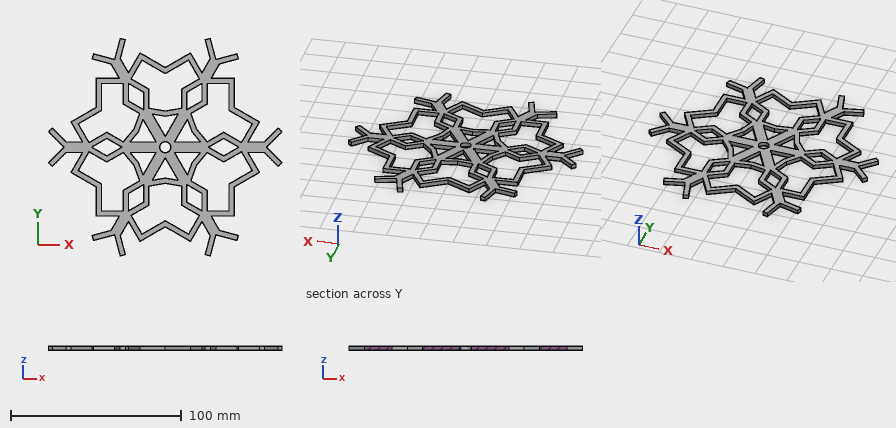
import cadquery as cq
import math

thickness = 2.54
bar_width = 3.175
hub_hole_diameter = 6.35
branch_count = 6
branch_angle = 360 / branch_count
half_sector = math.radians(branch_angle / 2)

spoke_width = 2 * bar_width
overall_length_x = 136.7
fork_corner_y = 9.02

frame_outer_offset = 40.41

diamond_center = 34.2
diamond_opening_half_length = 8.8
diamond_side_angle = math.radians(30)

ring_outer_radius = 21.22
ring_side_tilt = math.radians(9.7)


def plate(points):
    """Extrude a closed outline to the plate thickness."""
    return cq.Workplane("XY").polyline(points).close().extrude(thickness)


def mirrored_outline(points):
    """Complete a closed outline from its half on the +Y side of the X axis."""
    return points + [(x, -y) for x, y in reversed(points) if y != 0]


def make_inner_spoke():
    """Spoke along +X from the hub centre to the diamond opening."""
    opening_start_x = diamond_center - diamond_opening_half_length
    return plate(mirrored_outline([
        (0, spoke_width / 2),
        (opening_start_x, spoke_width / 2),
    ]))


def make_fork():
    """Outer spoke along +X, starting inside the frame and ending in two arms."""
    start_x = frame_outer_offset / math.cos(half_sector)
    half_width = spoke_width / 2
    fork_corner_x = overall_length_x / 2
    notch_x = fork_corner_x - fork_corner_y
    arm_step = bar_width / math.sqrt(2)
    arm_root_x = notch_x - 2 * arm_step + half_width
    return plate(mirrored_outline([
        (start_x, half_width),
        (arm_root_x, half_width),
        (fork_corner_x - arm_step, fork_corner_y + arm_step),
        (fork_corner_x, fork_corner_y),
        (notch_x, 0),
    ]))


def make_diamond(half_length):
    """Diamond-shaped plate centred on the spoke along +X."""
    return plate(mirrored_outline([
        (diamond_center - half_length, 0),
        (diamond_center, half_length * math.tan(diamond_side_angle)),
        (diamond_center + half_length, 0),
    ]))


def frame_half_edge(offset):
    """Frame edge from the bisector on +X to the spoke on its +Y side."""
    valley_x = offset / math.cos(half_sector)
    leg = offset - offset * math.tan(half_sector)
    peak = (
        valley_x + leg * math.sin(half_sector),
        leg * math.cos(half_sector),
    )
    spoke_end = (offset, offset * math.tan(half_sector))
    return [(valley_x, 0), peak, spoke_end]


def ring_half_edge(radius):
    """Ring edge from the bisector on +X to the spoke on its +Y side."""
    bend_angle = math.pi / 2 + ring_side_tilt
    spoke_corner_angle = math.pi - bend_angle - half_sector
    end_radius = radius * math.sin(bend_angle) / math.sin(spoke_corner_angle)
    spoke_end = (
        end_radius * math.cos(half_sector),
        end_radius * math.sin(half_sector),
    )
    return [(radius, 0), spoke_end]


def full_edge(half_edge):
    """Extend an edge that starts on the X axis to its mirror image on the -Y side."""
    return [(x, -y) for x, y in half_edge[:0:-1]] + half_edge


def make_band(outer_half, inner_half):
    """Band between two edges, symmetric about +X, turned onto a sector bisector."""
    outer_edge = full_edge(outer_half)
    inner_edge = full_edge(inner_half)
    band = plate(outer_edge + inner_edge[::-1])
    return band.rotate((0, 0, 0), (0, 0, 1), branch_angle / 2)


def make_branch():
    """One spoke with its diamond and the bands of the adjoining sector."""
    diamond_growth = bar_width / math.sin(diamond_side_angle)
    frame = make_band(
        frame_half_edge(frame_outer_offset),
        frame_half_edge(frame_outer_offset - bar_width),
    )
    ring = make_band(
        ring_half_edge(ring_outer_radius),
        ring_half_edge(ring_outer_radius - bar_width),
    )
    diamond = make_diamond(diamond_opening_half_length + diamond_growth)
    return make_inner_spoke().union(diamond).union(frame).union(ring).union(make_fork())


def make_snowflake():
    """Join all branches around the hub, then cut the openings."""
    branch = make_branch()
    opening = make_diamond(diamond_opening_half_length)
    angles = [index * branch_angle for index in range(branch_count)]
    body = branch
    for angle in angles[1:]:
        body = body.union(branch.rotate((0, 0, 0), (0, 0, 1), angle))
    for angle in angles:
        body = body.cut(opening.rotate((0, 0, 0), (0, 0, 1), angle))
    hub_hole = cq.Workplane("XY").circle(hub_hole_diameter / 2).extrude(thickness)
    return body.cut(hub_hole)


result = make_snowflake()